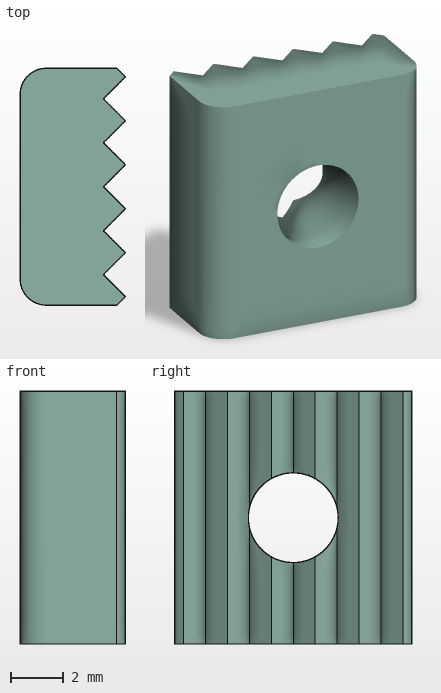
import cadquery as cq

thickness = 4.0
width = 9.0
height = 9.6

corner_radius = 1.0
hole_diameter = 3.4

tooth_count = 6
tooth_pitch = 5.0 / 3.0
tooth_depth = tooth_pitch / 2

tip_span = (tooth_count - 1) * tooth_pitch
end_margin = (width - tip_span) / 2

flat_x = -thickness / 2
tip_x = thickness / 2
root_x = tip_x - tooth_depth
side_x = tip_x - end_margin
half_width = width / 2


def toothed_edge():
    """Points of the serrated edge, from the -Y side to the +Y side."""
    points = [(side_x, -half_width)]
    for tooth in range(tooth_count):
        tip_y = -tip_span / 2 + tooth * tooth_pitch
        if tooth > 0:
            points.append((root_x, tip_y - tooth_pitch / 2))
        points.append((tip_x, tip_y))
    points.append((side_x, half_width))
    return points


def make_block():
    """Serrated block, centred on the origin, with the flat face's edges rounded."""
    outline = [(flat_x, -half_width)] + toothed_edge() + [(flat_x, half_width)]
    block = (
        cq.Workplane("XY")
        .workplane(offset=-height / 2)
        .polyline(outline)
        .close()
        .extrude(height)
    )
    return block.faces("<X").edges("|Z").fillet(corner_radius)


def make_hole():
    """Cylinder along X through the middle of the block."""
    return cq.Workplane("YZ").circle(hole_diameter / 2).extrude(thickness / 2, both=True)


result = make_block().cut(make_hole())